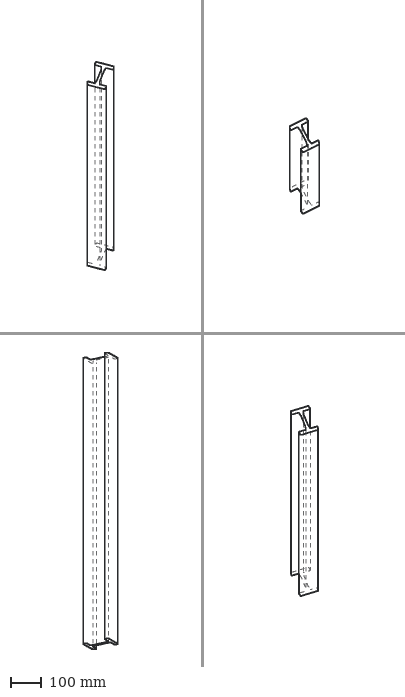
import cadquery as cq
import math

length = 1000.0
depth = 98.0
flange_width = 65.0

flange_thickness = 14.0
web_thickness = 10.0
web_flat_height = 40.0
draft_angle = math.radians(10)
corner_radius = 3.0

half_depth = depth / 2
flange_inner_y = half_depth - flange_thickness
web_flat_y = web_flat_height / 2
draft_slope = math.tan(draft_angle)

web_half = web_thickness / 2
root_half = web_half + (flange_inner_y - web_flat_y) * draft_slope
rounding_loss = corner_radius * (1 / math.cos(draft_angle) + draft_slope - 1)
flange_half = flange_width / 2 + rounding_loss
outer_half = flange_half - flange_thickness * draft_slope


def sharp_bar():
    """I-shaped bar whose web thickens toward each flange and whose flanges narrow outwards."""
    quarter = [
        (web_half, web_flat_y),
        (root_half, flange_inner_y),
        (flange_half, flange_inner_y),
        (outer_half, half_depth),
    ]
    upper = quarter + [(-x, y) for x, y in reversed(quarter)]
    lower = [(-x, -y) for x, y in upper]
    return cq.Workplane("XY").polyline(upper + lower).close().extrude(length)


def round_long_edges(bar):
    """Round the flange corners and the roots, leaving the crease between web and taper sharp."""
    lengthwise = cq.selectors.StringSyntaxSelector("|Z")
    crease_zone = cq.selectors.BoxSelector(
        (-root_half, -flange_inner_y + corner_radius, 0),
        (root_half, flange_inner_y - corner_radius, length),
    )
    return bar.edges(lengthwise - crease_zone).fillet(corner_radius)


result = round_long_edges(sharp_bar())